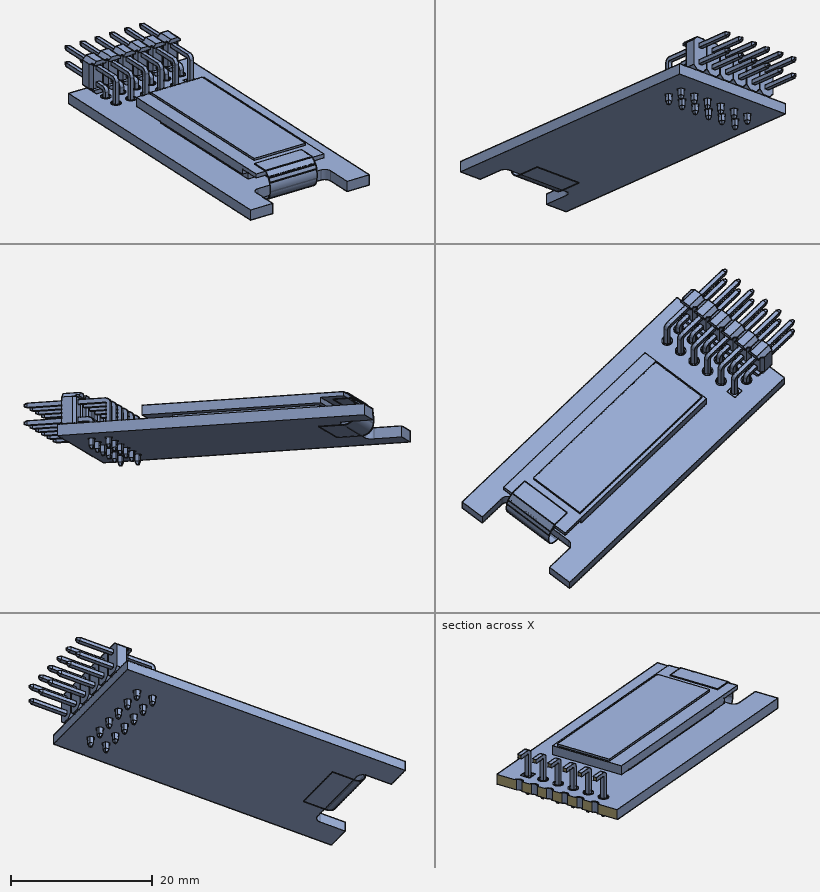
import cadquery as cq
import math


BOARD_LENGTH = 45.75
BOARD_WIDTH = 20.3
BOARD_THICKNESS = 1.6
SLOT_WIDTH = 12.65
SLOT_FLOOR_X = 40.6
SLOT_CORNER_RADIUS = 1.0
HOLE_DIAMETER = 1.1
PAD_DIAMETER = 1.5
PAD_HEIGHT = 0.05

PITCH = 2.55
PIN_ROWS = 6
PIN_SIZE = 0.6
PIN_TIP_SIZE = 0.3
PIN_TIP_LENGTH = 0.45
PIN_REACH = 6.2
PIN_TAIL_Z = -3.0
BEND_OUTER_RADIUS = 0.8
BEND_INNER_RADIUS = BEND_OUTER_RADIUS - PIN_SIZE
FIRST_COLUMN_X = 3.85
SEGMENT_WIDTH = 2.5
SEGMENT_CHAMFER = 0.6
HEADER_FRONT_X = -0.2
HEADER_LENGTH = 2.6
HEADER_HEIGHT = 2 * PITCH
RECESS_DEPTH = 0.5
LIP_HEIGHT = SEGMENT_CHAMFER
LIP_WIDTH = 1.95
LIP_BEVEL_LENGTH = 0.2
CORE_BEVEL = 0.45
CORE_REAR_WIDTH = SEGMENT_WIDTH - 2 * CORE_BEVEL
WEB_HEIGHT = HEADER_HEIGHT - 2 * SEGMENT_CHAMFER
WEB_SETBACK = 0.1

GLASS_START_X = 11.25
GLASS_LENGTH = 30.05
GLASS_END_X = GLASS_START_X + GLASS_LENGTH
GLASS_WIDTH = 11.6
GLASS_CENTER_Y = -0.4
GLASS_BOTTOM_Z = 1.4
GLASS_TOP_Z = 2.8
LEDGE_START_X = 37.9
LEDGE_BOTTOM_Z = 2.2
FILM_START_X = 11.6
FILM_LENGTH = 25.95
FILM_WIDTH = 8.8
FILM_CENTER_Y = 0.4
FILM_THICKNESS = 0.3
SPACER_START_X = 15.3
SPACER_LENGTH = 21.9
SPACER_WIDTH = FILM_WIDTH

FLEX_WIDTH = 8.0
FLEX_CENTER_Y = -0.6
FLEX_THICKNESS = 0.1
FLEX_OUTER_X = 42.6
FLEX_START_X = 39.2
FLEX_BEND_X = 41.95
RETURN_START_X = 37.1
RETURN_BEND_X = 40.8
TAPE_THICKNESS = 0.15
TAPE_START_X = 38.65
TAPE_CREASE_X = 42.2
TAPE_CREASE_Z = 2.2
TAPE_END_X = 42.55
TAPE_END_Z = 1.55

ROW_YS = [(row - (PIN_ROWS - 1) / 2) * PITCH for row in range(PIN_ROWS)]
COLUMN_XS = [FIRST_COLUMN_X, FIRST_COLUMN_X + PITCH]
PIN_ZS = [PITCH / 2, PITCH * 3 / 2]


def box(x_start, length, y_center, width, z_start, z_end):
    """Box that starts at x_start and is centered on y_center."""
    return (
        cq.Workplane("XY", origin=(x_start, y_center, z_start))
        .box(length, width, z_end - z_start, centered=(False, True, False))
    )


def extrude_across(profile, center_y, width):
    """Extrude an XZ-plane profile symmetrically about center_y."""
    return profile.extrude(width / 2, both=True).translate((0, center_y, 0))


def make_board():
    board = box(0, BOARD_LENGTH, 0, BOARD_WIDTH, -BOARD_THICKNESS, 0)
    slot = (
        box(SLOT_FLOOR_X, BOARD_LENGTH - SLOT_FLOOR_X, 0, SLOT_WIDTH, -BOARD_THICKNESS, 0)
        .edges("|Z and <X")
        .fillet(SLOT_CORNER_RADIUS)
    )
    board = board.cut(slot)

    hole_centers = [(x, y) for x in COLUMN_XS for y in ROW_YS]
    square_pad_center = (COLUMN_XS[-1], ROW_YS[-1])
    round_pad_centers = [center for center in hole_centers if center != square_pad_center]
    round_pads = (
        cq.Workplane("XY").pushPoints(round_pad_centers).circle(PAD_DIAMETER / 2).extrude(PAD_HEIGHT)
    )
    square_pad = (
        cq.Workplane("XY").center(*square_pad_center).rect(PAD_DIAMETER, PAD_DIAMETER).extrude(PAD_HEIGHT)
    )
    holes = (
        cq.Workplane("XY", origin=(0, 0, -BOARD_THICKNESS))
        .pushPoints(hole_centers)
        .circle(HOLE_DIAMETER / 2)
        .extrude(BOARD_THICKNESS + PAD_HEIGHT)
    )
    return board.union(round_pads).union(square_pad).cut(holes)


def make_header_segment():
    """One octagonal housing segment on y = 0, beveled and recessed at the rear."""
    rear_x = HEADER_FRONT_X + HEADER_LENGTH
    core_rear_x = rear_x - RECESS_DEPTH
    segment = (
        box(HEADER_FRONT_X, HEADER_LENGTH, 0, SEGMENT_WIDTH, 0, HEADER_HEIGHT)
        .edges("|X")
        .chamfer(SEGMENT_CHAMFER)
    )
    plan = (
        cq.Workplane("XY")
        .moveTo(HEADER_FRONT_X, 0)
        .lineTo(HEADER_FRONT_X, SEGMENT_WIDTH / 2)
        .lineTo(core_rear_x - LIP_BEVEL_LENGTH, SEGMENT_WIDTH / 2)
        .lineTo(core_rear_x, LIP_WIDTH / 2)
        .lineTo(rear_x, LIP_WIDTH / 2)
        .lineTo(rear_x, 0)
        .mirrorX()
        .extrude(HEADER_HEIGHT)
    )
    recess = (
        cq.Workplane("XY", origin=(0, 0, LIP_HEIGHT))
        .moveTo(core_rear_x, 0)
        .lineTo(core_rear_x, CORE_REAR_WIDTH / 2)
        .lineTo(core_rear_x - CORE_BEVEL, SEGMENT_WIDTH / 2)
        .lineTo(rear_x, SEGMENT_WIDTH / 2)
        .lineTo(rear_x, 0)
        .mirrorX()
        .extrude(HEADER_HEIGHT - 2 * LIP_HEIGHT)
    )
    return segment.intersect(plan).cut(recess)


def pin_tip(plane):
    """Tapered pin end that grows along the normal of the given plane."""
    return (
        cq.Workplane(plane)
        .rect(PIN_SIZE, PIN_SIZE)
        .workplane(offset=PIN_TIP_LENGTH)
        .rect(PIN_TIP_SIZE, PIN_TIP_SIZE)
        .loft(ruled=True)
    )


def make_pin(column_x, pin_z):
    """Right-angle square pin on y = 0 with a tapered tip at each end."""
    half = PIN_SIZE / 2
    front_x = -PIN_REACH + PIN_TIP_LENGTH
    tail_z = PIN_TAIL_Z + PIN_TIP_LENGTH
    corner = (
        cq.Workplane("XZ")
        .moveTo(front_x, pin_z + half)
        .lineTo(column_x + half, pin_z + half)
        .lineTo(column_x + half, tail_z)
        .lineTo(column_x - half, tail_z)
        .lineTo(column_x - half, pin_z - half)
        .lineTo(front_x, pin_z - half)
        .close()
    )
    pin = extrude_across(corner, 0, PIN_SIZE)
    pin = pin.edges(cq.NearestToPointSelector((column_x + half, 0, pin_z + half))).fillet(BEND_OUTER_RADIUS)
    pin = pin.edges(cq.NearestToPointSelector((column_x - half, 0, pin_z - half))).fillet(BEND_INNER_RADIUS)
    front_tip = pin_tip(cq.Plane((front_x, 0, pin_z), xDir=(0, 1, 0), normal=(-1, 0, 0)))
    tail_tip = pin_tip(cq.Plane((column_x, 0, tail_z), xDir=(1, 0, 0), normal=(0, 0, -1)))
    return pin.union(front_tip).union(tail_tip)


def make_header():
    web = box(
        HEADER_FRONT_X + WEB_SETBACK,
        HEADER_LENGTH - RECESS_DEPTH - CORE_BEVEL - WEB_SETBACK,
        0,
        (PIN_ROWS - 1) * PITCH,
        SEGMENT_CHAMFER,
        SEGMENT_CHAMFER + WEB_HEIGHT,
    )
    segment = make_header_segment()
    pins = [make_pin(x, z) for x, z in zip(COLUMN_XS, PIN_ZS)]
    header = web
    for y in ROW_YS:
        for piece in [segment, *pins]:
            header = header.union(piece.translate((0, y, 0)))
    return header


def bend_point(start_x, end_x, height):
    """Point at 45 degrees on a quarter ellipse from (start_x, height) down to (end_x, 0)."""
    diagonal = math.sqrt(0.5)
    return (start_x + (end_x - start_x) * diagonal, height * diagonal)


def bent_strip(start_x, bend_x, outer_z, inner_z):
    """Thin strip that lies flat between two heights and then curves to the board's top plane."""
    inner_x = FLEX_OUTER_X - FLEX_THICKNESS
    profile = (
        cq.Workplane("XZ")
        .moveTo(start_x, outer_z)
        .lineTo(bend_x, outer_z)
        .threePointArc(bend_point(bend_x, FLEX_OUTER_X, outer_z), (FLEX_OUTER_X, 0))
        .lineTo(inner_x, 0)
        .threePointArc(bend_point(bend_x, inner_x, inner_z), (bend_x, inner_z))
        .lineTo(start_x, inner_z)
        .close()
    )
    return extrude_across(profile, FLEX_CENTER_Y, FLEX_WIDTH)


def make_tape():
    """Tape from the top of the glass, down over its end and onto the flex."""
    lower_edge = [
        (TAPE_START_X, GLASS_TOP_Z),
        (GLASS_END_X, GLASS_TOP_Z),
        (TAPE_CREASE_X, TAPE_CREASE_Z - TAPE_THICKNESS),
        (TAPE_END_X, TAPE_END_Z - TAPE_THICKNESS),
    ]
    upper_edge = [(x, z + TAPE_THICKNESS) for x, z in lower_edge]
    profile = cq.Workplane("XZ").polyline(lower_edge + upper_edge[::-1]).close()
    return extrude_across(profile, FLEX_CENTER_Y, FLEX_WIDTH)


def make_display():
    ledge_length = GLASS_END_X - LEDGE_START_X
    glass = box(GLASS_START_X, GLASS_LENGTH, GLASS_CENTER_Y, GLASS_WIDTH, GLASS_BOTTOM_Z, GLASS_TOP_Z)
    ledge_gap = box(
        LEDGE_START_X, ledge_length, GLASS_CENTER_Y, GLASS_WIDTH, GLASS_BOTTOM_Z, LEDGE_BOTTOM_Z
    )
    film = box(
        FILM_START_X, FILM_LENGTH, FILM_CENTER_Y, FILM_WIDTH, GLASS_TOP_Z, GLASS_TOP_Z + FILM_THICKNESS
    )
    spacer = box(SPACER_START_X, SPACER_LENGTH, GLASS_CENTER_Y, SPACER_WIDTH, 0, GLASS_BOTTOM_Z)
    flex = bent_strip(FLEX_START_X, FLEX_BEND_X, LEDGE_BOTTOM_Z, LEDGE_BOTTOM_Z - FLEX_THICKNESS)
    flex_return = bent_strip(
        RETURN_START_X, RETURN_BEND_X, -BOARD_THICKNESS - FLEX_THICKNESS, -BOARD_THICKNESS
    )
    return (
        glass.cut(ledge_gap)
        .union(film)
        .union(spacer)
        .union(make_tape())
        .union(flex)
        .union(flex_return)
    )


board = make_board()
header = make_header()
display = make_display()

result = cq.Compound.makeCompound([board.val(), header.val(), display.val()])